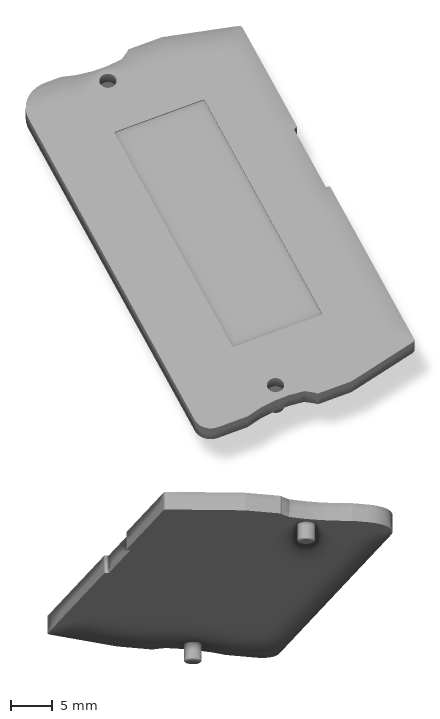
import cadquery as cq

length = 55.8
width = 29.0
plate_thickness = 2.25
half_length = length / 2
half_width = width / 2

top_half_length = 25.55
lower_half_length = 27.5
shoulder_top_y = 5.1
shoulder_bottom_y = 0.6
step_bevel = 0.3
waist_top_x = 26.9
waist_top_y = -0.7
waist_bottom_y = -8.5
waist_x = 26.7
top_corner_radius = 0.45
left_corner_radius = 4.0
right_corner_radius = 2.1

notch_left = -9.15
notch_right = 0.55
notch_depth = 0.5
notch_side_inset = 0.15

recess_length = 34.9
recess_width = 11.9
recess_depth = 0.15
recess_corner_radius = 0.2

pin_x = 24.65
pin_y = -3.5
pin_diameter = 2.1
pin_length = 2.2
pin_chamfer = 0.1
socket_diameter = 2.05
socket_depth = 1.7


def make_plate():
    outline = (
        cq.Workplane("XY")
        .moveTo(-top_half_length, half_width)
        .lineTo(-half_length, shoulder_top_y)
        .lineTo(-half_length, shoulder_bottom_y)
        .lineTo(-half_length + step_bevel, shoulder_bottom_y - step_bevel)
        .lineTo(-waist_top_x, waist_top_y)
        .threePointArc((-waist_x, pin_y), (-lower_half_length, waist_bottom_y))
        .lineTo(-lower_half_length, -half_width)
        .lineTo(lower_half_length, -half_width)
        .lineTo(lower_half_length, waist_bottom_y)
        .threePointArc((waist_x, pin_y), (waist_top_x, waist_top_y))
        .lineTo(half_length - step_bevel, shoulder_bottom_y - step_bevel)
        .lineTo(half_length, shoulder_bottom_y)
        .lineTo(half_length, shoulder_top_y)
        .lineTo(top_half_length, half_width)
        .close()
    )
    plate = outline.extrude(plate_thickness)
    plate = plate.faces(">Y").edges("|Z").fillet(top_corner_radius)
    plate = plate.faces("<Y").edges("|Z and <X").fillet(left_corner_radius)
    return plate.faces("<Y").edges("|Z and >X").fillet(right_corner_radius)


def make_notch():
    floor_y = half_width - notch_depth
    return (
        cq.Workplane("XY")
        .moveTo(notch_left, half_width)
        .lineTo(notch_left + notch_side_inset, floor_y)
        .lineTo(notch_right - notch_side_inset, floor_y)
        .lineTo(notch_right, half_width)
        .close()
        .extrude(plate_thickness)
    )


def make_recess():
    return (
        cq.Workplane("XY", origin=(0, 0, plate_thickness - recess_depth))
        .rect(recess_length, recess_width)
        .extrude(recess_depth)
        .edges("|Z")
        .fillet(recess_corner_radius)
    )


def make_pin(x):
    return (
        cq.Workplane("XY", origin=(x, pin_y, 0))
        .circle(pin_diameter / 2)
        .extrude(-pin_length)
        .faces("<Z")
        .chamfer(pin_chamfer)
    )


def make_socket(x):
    return (
        cq.Workplane("XY", origin=(x, pin_y, plate_thickness))
        .circle(socket_diameter / 2)
        .extrude(-socket_depth)
    )


result = make_plate().cut(make_notch()).cut(make_recess())
for x in (-pin_x, pin_x):
    result = result.union(make_pin(x)).cut(make_socket(x))